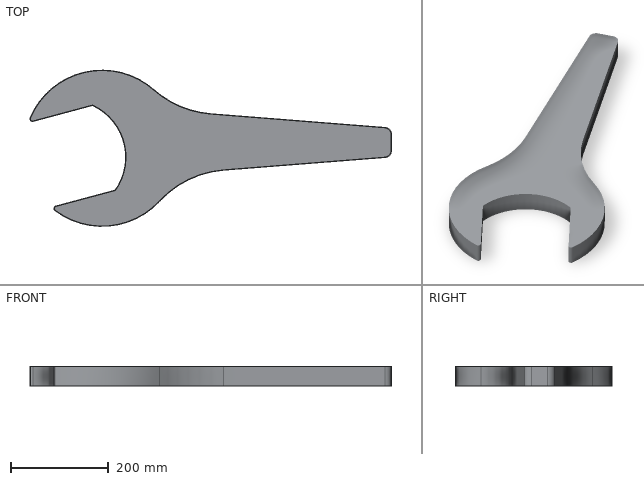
import cadquery as cq
import math

overall_length = 741.0

thickness = 40.0
head_radius = 160.0

handle_axis_y = 12.0
handle_end_half_width = 30.0
handle_taper_angle = 4.5
handle_corner_radius = 15.0
neck_radius = 200.0

jaw_width = 180.0
jaw_tilt = 15.0
jaw_corner_offset = 4.0
jaw_bottom_radius = 117.0
jaw_tip_radius = 5.0

tip_center_side = jaw_width / 2 + jaw_tip_radius
tip_center_along = math.sqrt((head_radius - jaw_tip_radius) ** 2 - tip_center_side**2)
tilt = math.radians(jaw_tilt)
jaw_reach = tip_center_along * math.cos(tilt) + tip_center_side * math.sin(tilt) + jaw_tip_radius
handle_end_x = overall_length - jaw_reach


def make_head():
    return cq.Workplane("XY").circle(head_radius).extrude(thickness)


def make_handle():
    """Tapered handle starting inside the head, with a rounded free end."""
    taper = handle_end_x * math.tan(math.radians(handle_taper_angle))
    root_half_width = handle_end_half_width + taper
    return (
        cq.Workplane("XY")
        .moveTo(0, handle_axis_y - root_half_width)
        .lineTo(handle_end_x, handle_axis_y - handle_end_half_width)
        .lineTo(handle_end_x, handle_axis_y + handle_end_half_width)
        .lineTo(0, handle_axis_y + root_half_width)
        .close()
        .extrude(thickness)
        .edges("|Z and >X")
        .fillet(handle_corner_radius)
    )


def blend_neck(body):
    """Round the two inside corners where the handle leaves the head."""
    corners = cq.selectors.BoxSelector(
        (head_radius / 2, -head_radius, 0),
        (head_radius, head_radius, thickness),
    )
    return body.edges("|Z").edges(corners).fillet(neck_radius)


def make_jaw_cutter():
    """Mouth opening toward -X before the tilt, closed by an arc at its inner end."""
    half_width = jaw_width / 2
    arc_height = jaw_bottom_radius - math.sqrt(jaw_bottom_radius**2 - half_width**2)
    open_end_x = -2 * head_radius
    return (
        cq.Workplane("XY")
        .moveTo(open_end_x, -half_width)
        .lineTo(jaw_corner_offset, -half_width)
        .threePointArc(
            (jaw_corner_offset + arc_height, 0),
            (jaw_corner_offset, half_width),
        )
        .lineTo(open_end_x, half_width)
        .close()
        .extrude(thickness)
        .rotate((0, 0, 0), (0, 0, 1), jaw_tilt)
    )


def round_jaw_tips(body):
    """Round the sharp outer corners left where the mouth breaks the head rim."""
    half_width = jaw_width / 2
    tip_distance = math.sqrt(head_radius**2 - half_width**2)
    for side in (-half_width, half_width):
        tip = (
            -tip_distance * math.cos(tilt) - side * math.sin(tilt),
            -tip_distance * math.sin(tilt) + side * math.cos(tilt),
            thickness / 2,
        )
        tip_edge = cq.selectors.NearestToPointSelector(tip)
        body = body.edges("|Z").edges(tip_edge).fillet(jaw_tip_radius)
    return body


blank = blend_neck(make_head().union(make_handle()))
result = round_jaw_tips(blank.cut(make_jaw_cutter()))